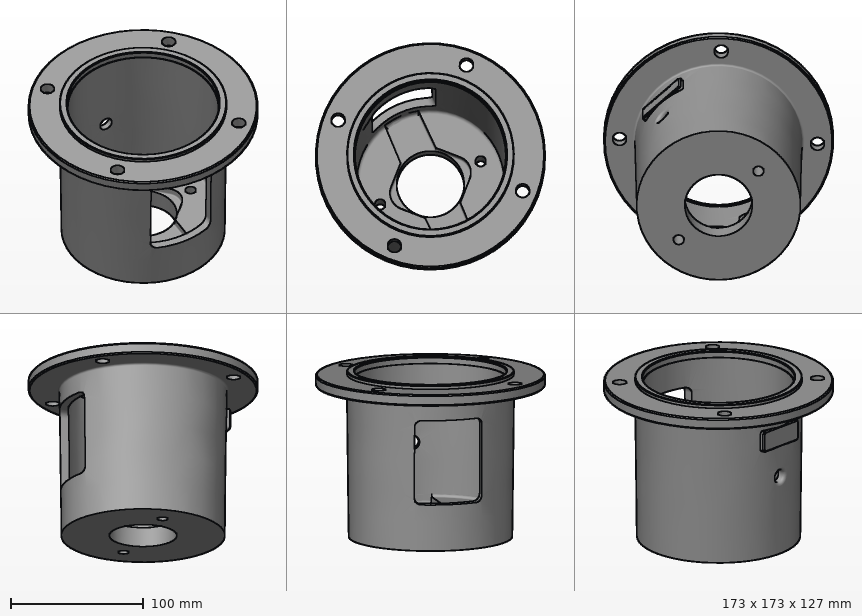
import cadquery as cq
import math

flange_radius = 86.5
flange_bottom = 115.5
flange_top = 124.2
flange_edge_chamfer = 1.0
height = 127.0
spigot_radius = 63.0
spigot_chamfer = 0.5
flange_hole_radius = 5.2
flange_hole_offset = 52.8

barrel_top_radius = 63.1
barrel_bottom_radius = 61.8
barrel_root_fillet = 1.5
counterbore_radius = 57.3
counterbore_depth = 5.0
counterbore_chamfer = 0.7
bore_top_radius = 56.7
bore_floor_radius = 55.5
bore_fillet = 2.5

floor_height = 20.0
relief_depth = 5.0
relief_fillet = 1.2
relief_draft = 7.0
relief_inner_half_width = 14.5
relief_outer_half_width = 13.7
diamond_reach = 37.5
diamond_tip_radius = 13.0
pilot_radius = 25.5
pump_hole_radius = 4.0
pump_hole_offset = 41.3

window_bottom = 35.5
window_top = 100.1
window_width = 52.2
window_corner_radius = 5.2

side_hole_height = 62.0
side_hole_radius = 5.0
side_hole_fillet = 2.2

plate_width = 39.8
plate_bottom = 86.1
plate_top = 103.0
plate_face = 63.3
plate_corner_radius = 2.6
plate_edge_chamfer = 1.0


def cylinder(radius, bottom, top):
    return cq.Workplane("XY").workplane(offset=bottom).circle(radius).extrude(top - bottom)


def cone(bottom_radius, top_radius, bottom, top):
    profile = [(0, bottom), (bottom_radius, bottom), (top_radius, top), (0, top)]
    return cq.Workplane("XZ").polyline(profile).close().revolve(360, (0, 0, 0), (0, 1, 0))


def make_body():
    barrel = cone(barrel_bottom_radius, barrel_top_radius, 0, flange_bottom)
    flange = cylinder(flange_radius, flange_bottom, flange_top).edges().chamfer(flange_edge_chamfer)
    spigot = cylinder(spigot_radius, flange_top, height).faces(">Z").edges().chamfer(spigot_chamfer)
    root = cq.selectors.BoxSelector(
        (-spigot_radius - 1.7, -spigot_radius - 1.7, flange_bottom - 0.2),
        (spigot_radius + 1.7, spigot_radius + 1.7, flange_bottom + 0.2),
        boundingbox=True,
    )
    body = barrel.union(flange)
    body = body.edges(root).fillet(barrel_root_fillet)
    return body.union(spigot)


def make_nameplate():
    """Flat pad with rounded corners, sunk into the barrel wall."""
    sink = plate_face - bore_top_radius - 1.7
    return (
        cq.Workplane("YZ", origin=(-plate_face, 0, (plate_bottom + plate_top) / 2))
        .rect(plate_width, plate_top - plate_bottom)
        .extrude(sink)
        .edges("|X")
        .fillet(plate_corner_radius)
        .faces("<X")
        .edges()
        .chamfer(plate_edge_chamfer)
    )


def make_bore():
    counterbore_floor = height - counterbore_depth
    bore = cone(bore_floor_radius, bore_top_radius, floor_height, counterbore_floor)
    bore = bore.faces("<Z").edges().fillet(bore_fillet)
    counterbore = cylinder(counterbore_radius, counterbore_floor, height)
    lead_in = cone(
        counterbore_radius, counterbore_radius + counterbore_chamfer, height - counterbore_chamfer, height
    )
    return bore.union(counterbore).union(lead_in)


def relief_outline():
    """Slot along X joined to a round-tipped diamond, in the plane of the floor."""
    slot_end = barrel_top_radius
    slot_start = diamond_reach - relief_inner_half_width
    tangent = diamond_tip_radius / math.sqrt(2)
    tip = diamond_reach - diamond_tip_radius * (math.sqrt(2) - 1)
    return (
        cq.Workplane("XY", origin=(0, 0, floor_height))
        .moveTo(slot_end, -relief_outer_half_width)
        .lineTo(slot_end, relief_outer_half_width)
        .lineTo(slot_start, relief_inner_half_width)
        .lineTo(tangent, diamond_reach - tangent)
        .threePointArc((0, tip), (-tangent, diamond_reach - tangent))
        .lineTo(-slot_start, relief_inner_half_width)
        .lineTo(-slot_end, relief_outer_half_width)
        .lineTo(-slot_end, -relief_outer_half_width)
        .lineTo(-slot_start, -relief_inner_half_width)
        .lineTo(-tangent, tangent - diamond_reach)
        .threePointArc((0, -tip), (tangent, tangent - diamond_reach))
        .lineTo(slot_start, -relief_inner_half_width)
        .close()
    )


def make_floor_relief():
    """Drafted pocket with a rounded foot, ending at the bore wall."""
    relief = relief_outline().extrude(-relief_depth, taper=relief_draft)
    relief = relief.faces("<Z").edges().fillet(relief_fillet)
    relief = relief.union(relief_outline().extrude(bore_fillet))
    limit = cylinder(bore_floor_radius, floor_height - relief_depth, floor_height + bore_fillet)
    return relief.intersect(limit.faces("<Z").edges().fillet(bore_fillet))


def make_window():
    return (
        cq.Workplane("YZ", origin=(0, 0, (window_bottom + window_top) / 2))
        .rect(window_width, window_top - window_bottom)
        .extrude(flange_radius)
        .edges("|X")
        .fillet(window_corner_radius)
    )


def make_floor_holes():
    holes = cylinder(pilot_radius, 0, floor_height)
    for side in (-1, 1):
        hole = cylinder(pump_hole_radius, 0, floor_height)
        holes = holes.union(hole.translate((0, side * pump_hole_offset, 0)))
    return holes


def make_flange_holes():
    return (
        cq.Workplane("XY", origin=(0, 0, flange_bottom))
        .rect(2 * flange_hole_offset, 2 * flange_hole_offset, forConstruction=True)
        .vertices()
        .circle(flange_hole_radius)
        .extrude(flange_top - flange_bottom)
    )


def make_side_hole():
    return (
        cq.Workplane("YZ", origin=(0, 0, side_hole_height)).circle(side_hole_radius).extrude(-flange_radius)
    )


result = make_body().union(make_nameplate())
result = result.cut(make_bore()).cut(make_floor_relief()).cut(make_floor_holes())
result = result.cut(make_window()).cut(make_flange_holes()).cut(make_side_hole())

mouth = cq.selectors.BoxSelector(
    (-flange_radius, -side_hole_radius - 1.7, side_hole_height - side_hole_radius - 1.7),
    (-(bore_top_radius + barrel_bottom_radius) / 2, side_hole_radius + 1.7, side_hole_height + side_hole_radius + 1.7),
)
result = result.edges(mouth).fillet(side_hole_fillet)